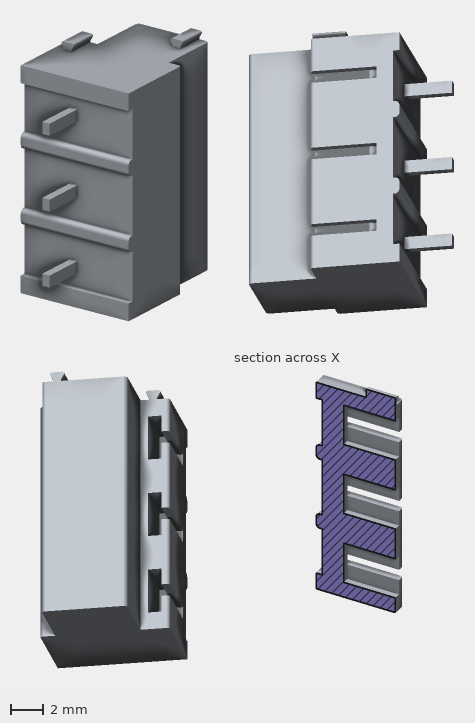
import cadquery as cq


TOTAL_HEIGHT = 15.84
TOTAL_DEPTH = 12.6
POLE_COUNT = 3

BODY_WIDTH = 8.2
BODY_DEPTH = 10.0
RAIL_HEIGHT = 0.6
BODY_HEIGHT = TOTAL_HEIGHT - RAIL_HEIGHT
POLE_PITCH = BODY_HEIGHT / POLE_COUNT
POLE_LEVELS = [(pole + 0.5) * POLE_PITCH for pole in range(POLE_COUNT)]

REAR_DEPTH = 4.32
SHOULDER_Y = BODY_DEPTH - REAR_DEPTH
LEFT_SHOULDER_WIDTH = 1.84
RIGHT_SHOULDER_WIDTH = 0.95
REAR_LEFT_X = -BODY_WIDTH / 2 + LEFT_SHOULDER_WIDTH
REAR_RIGHT_X = BODY_WIDTH / 2 - RIGHT_SHOULDER_WIDTH
REAR_CORNER_RADIUS = 0.25
SHOULDER_CORNER_RADIUS = 0.2

RECESS_DEPTH = 0.41
END_LIP_HEIGHT = 1.19
RIB_HEIGHT = 1.08
RIB_RADIUS = 0.3

PIN_WIDTH = 0.55
PIN_HEIGHT = 0.8
PIN_LENGTH = TOTAL_DEPTH - BODY_DEPTH + RECESS_DEPTH
PIN_OFFSET_X = -0.35

SLOT_LENGTH = 4.21
SLOT_HEIGHT = 0.76
LEFT_WALL = 0.5
CHAMBER_LENGTH = 3.67
CHAMBER_HEIGHT = 2.85
CHAMBER_WIDTH = 0.87

RAIL_LENGTH = 2.1
RAIL_NECK_WIDTH = 0.52
RAIL_NECK_HEIGHT = 0.13
RAIL_TOP_WIDTH = 1.08
RAIL_EDGE_RADIUS = 0.119
LEFT_RAIL_X = -3.05
RIGHT_RAIL_X = 2.17


def box(width, depth, height, x_left, y_front, z_bottom):
    """Box placed by its left, front, bottom corner."""
    block = cq.Workplane("XY").box(width, depth, height, centered=False)
    return block.translate((x_left, y_front, z_bottom))


def make_housing():
    """Stepped housing with rounded outer corners at the rear and at the shoulders."""
    wide = box(BODY_WIDTH, SHOULDER_Y, BODY_HEIGHT, -BODY_WIDTH / 2, 0, 0)
    wide = wide.edges("|Z and >Y").fillet(SHOULDER_CORNER_RADIUS)
    rear = box(REAR_RIGHT_X - REAR_LEFT_X, BODY_DEPTH, BODY_HEIGHT, REAR_LEFT_X, 0, 0)
    rear = rear.edges("|Z and >Y").fillet(REAR_CORNER_RADIUS)
    return wide.union(rear)


def make_front_recess():
    recess_height = BODY_HEIGHT - 2 * END_LIP_HEIGHT
    return box(BODY_WIDTH, RECESS_DEPTH, recess_height, -BODY_WIDTH / 2, 0, END_LIP_HEIGHT)


def make_rib(z_center):
    """Rib across the recess, rounded along both front edges."""
    rib = box(BODY_WIDTH, 2 * RECESS_DEPTH, RIB_HEIGHT, -BODY_WIDTH / 2, 0, z_center - RIB_HEIGHT / 2)
    return rib.edges("|X and <Y").fillet(RIB_RADIUS)


def make_pin(z_center):
    return box(
        PIN_WIDTH, PIN_LENGTH, PIN_HEIGHT,
        PIN_OFFSET_X - PIN_WIDTH / 2, RECESS_DEPTH - PIN_LENGTH, z_center - PIN_HEIGHT / 2,
    )


def make_wire_chamber(z_center):
    """Chamber entered from the shoulder, with the slot that opens it to the left side."""
    x_left = -BODY_WIDTH / 2
    slot = box(
        LEFT_WALL, SLOT_LENGTH, SLOT_HEIGHT,
        x_left, SHOULDER_Y - SLOT_LENGTH, z_center - SLOT_HEIGHT / 2,
    )
    chamber = box(
        CHAMBER_WIDTH, CHAMBER_LENGTH, CHAMBER_HEIGHT,
        x_left + LEFT_WALL, SHOULDER_Y - CHAMBER_LENGTH, z_center - CHAMBER_HEIGHT / 2,
    )
    return slot.union(chamber)


def make_rail(x_center, y_back):
    """Dovetail rail on a straight neck, running forward from y_back."""
    neck = RAIL_NECK_WIDTH / 2
    top = RAIL_TOP_WIDTH / 2
    profile = [
        (-neck, 0),
        (neck, 0),
        (neck, RAIL_NECK_HEIGHT),
        (top, RAIL_HEIGHT),
        (-top, RAIL_HEIGHT),
        (-neck, RAIL_NECK_HEIGHT),
    ]
    rail = cq.Workplane("XZ").polyline(profile).close().extrude(RAIL_LENGTH)
    rail = rail.faces(">Z").edges("|Y").fillet(RAIL_EDGE_RADIUS)
    return rail.translate((x_center, y_back, BODY_HEIGHT))


result = make_housing().cut(make_front_recess())

for boundary in range(1, POLE_COUNT):
    result = result.union(make_rib(boundary * POLE_PITCH))

for level in POLE_LEVELS:
    result = result.union(make_pin(level)).cut(make_wire_chamber(level))

result = result.union(make_rail(LEFT_RAIL_X, SHOULDER_Y))
result = result.union(make_rail(RIGHT_RAIL_X, BODY_DEPTH))